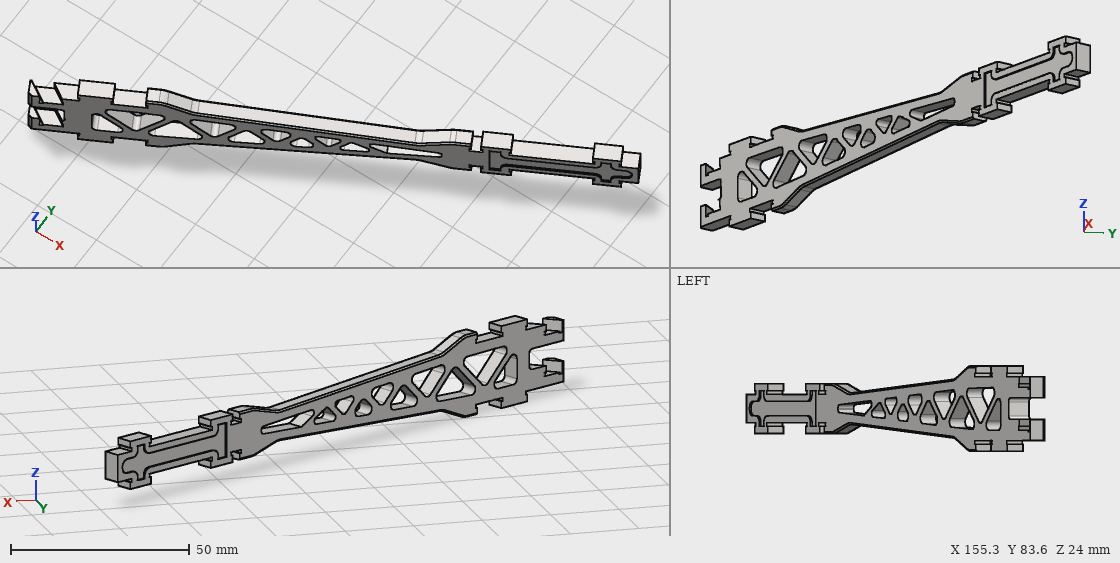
import cadquery as cq
import math

SWING_ANGLE = 27.5
LENGTH = 172.5
THICKNESS = 5.0
OVERLAP = 1.0

EAR_HEIGHT = 3.0
FORK_HALF = 9.0
BAR_HALF = 4.0
FORK_EAR_HALF = FORK_HALF + EAR_HEIGHT
BAR_EAR_HALF = BAR_HALF + EAR_HEIGHT
FORK_EAR = (14.0, 24.0)
BAR_EARS = ((128.0, 136.5), (159.6, 167.6))
RELIEF_DEPTH = 0.5
RELIEF_HEIGHT = 1.0

FORK_GAP_HALF = 3.0
FORK_GAP_DEPTH = 10.3
FORK_GAP_FILLET = 1.0
TIP_CHAMFER = 1.0
HOOK_ANGLE = 60.0
HOOK_SLANT = THICKNESS / math.tan(math.radians(HOOK_ANGLE))
HOOK_START = 0.4
HOOK_END = 6.75
HOOK_RELIEF_DEPTH = 0.25
HOOK_DEPTH = 3.0
HOOK_GROOVE_WIDTH = 1.0
HOOK_GROOVE_DEPTH = 0.5

TRUSS_START = 33.3
FORK_SHOULDER = 38.1
FORK_NECK = (46.8, 8.3)
BAR_NECK = (110.2, 4.4)
BAR_SHOULDER = 119.8
TRUSS_END = 125.2
BLEND_RADIUS = 6.0
RIM_CHAMFER = 0.5

RAIL_STATION = 46.7
RAIL_HALF = 5.3
RAIL_TAPER = 0.0605
RAIL_HALF_MAX = 6.0
WINDOW_FILLET = 1.5
SMALL_WINDOW_FILLET = 1.0
FIRST_WINDOW = (18.0, 22.9)
TRIANGLE_WINDOWS = (
    (25.7, 35.0),
    (37.8, 46.1),
    (49.0, 56.1),
    (59.1, 64.8),
    (67.8, 72.6),
    (75.6, 79.4),
)
SMALL_TRIANGLE_WINDOW = (82.9, 86.9)
SKEW_WINDOW = (89.5, 95.0)
LONG_WINDOW = (97.7, 116.9)
LAST_STRUT_SLOPE = 0.53
LONG_WINDOW_CORNER = 1.0

RECESS_DEPTH = 0.5
RECESS_HALF = 2.05
RECESS_HEAD_HALF = 5.0
RECESS_HEAD = (130.4, 133.6)
RECESS_CROSS = (162.0, 164.7)
RECESS_END = 170.7
RECESS_FILLET = 2.0


def block(start, end, bottom, top):
    """Full-thickness box between two stations and two heights."""
    size = cq.Workplane("XY").box(end - start, THICKNESS, top - bottom, centered=False)
    return size.translate((start, 0, bottom))


def plate(points, thickness=THICKNESS):
    """Plate standing on the front face, from (station, height) points."""
    return cq.Workplane("XZ").polyline(points).close().extrude(-thickness)


def with_mirror(upper_points):
    """Close an upper outline with its reflection in the centre line."""
    return upper_points + [(x, -z) for x, z in reversed(upper_points)]


def between(start, end, half_height):
    """Selector for edges whose middle lies in the given stretch of the arm."""
    return cq.selectors.BoxSelector(
        (start, -THICKNESS, -half_height), (end, 2 * THICKNESS, half_height)
    )


def undercut(body, wall, body_half):
    """Cut the relief at the root of an ear wall, above and below the body."""
    for bottom in (body_half, -body_half - RELIEF_HEIGHT):
        body = body.cut(
            block(wall - RELIEF_DEPTH, wall + RELIEF_DEPTH, bottom, bottom + RELIEF_HEIGHT)
        )
    return body


def ears(span, body_half):
    """A pair of ears with both walls undercut where they meet the body."""
    body = block(*span, -body_half - EAR_HEIGHT, body_half + EAR_HEIGHT)
    for wall in span:
        body = undercut(body, wall, body_half)
    return body


def slanted_block(back_start, back_end, front_shift, bottom, top):
    """Box whose end walls shift along the arm from the back face to the front face."""
    outline = [
        (back_start, THICKNESS),
        (back_end, THICKNESS),
        (back_end + front_shift, 0),
        (back_start + front_shift, 0),
    ]
    prism = cq.Workplane("XY").polyline(outline).close().extrude(top - bottom)
    return prism.translate((0, 0, bottom))


def hook_slot(prong_top):
    """Slanted slot in a prong, undercut at its far wall and grooved at its near wall."""
    floor = prong_top - HOOK_DEPTH
    slot = slanted_block(HOOK_START, HOOK_END, HOOK_SLANT, floor, prong_top)
    relief = slanted_block(
        HOOK_START, HOOK_END + HOOK_RELIEF_DEPTH, HOOK_SLANT, floor, floor + RELIEF_HEIGHT
    )
    groove = slanted_block(
        HOOK_START, HOOK_START + HOOK_GROOVE_WIDTH, HOOK_SLANT, floor - HOOK_GROOVE_DEPTH, floor
    )
    return slot.union(relief).union(groove)


def fork():
    body = block(0, TRUSS_START + OVERLAP, -FORK_HALF, FORK_HALF)
    body = body.edges("|Z and <X and <Y").chamfer(TIP_CHAMFER)
    gap = slanted_block(
        -FORK_GAP_DEPTH, FORK_GAP_DEPTH + HOOK_SLANT, -HOOK_SLANT, -FORK_GAP_HALF, FORK_GAP_HALF
    )
    gap = gap.faces(">X").edges("#Z").edges(">Z or <Z").fillet(FORK_GAP_FILLET)
    body = body.cut(gap).union(ears(FORK_EAR, FORK_HALF))
    for prong_top in (FORK_HALF, -FORK_GAP_HALF):
        body = body.cut(hook_slot(prong_top))
    return body


def truss():
    body = plate(with_mirror([
        (TRUSS_START, FORK_EAR_HALF),
        (FORK_SHOULDER, FORK_EAR_HALF),
        FORK_NECK,
        BAR_NECK,
        (BAR_SHOULDER, BAR_EAR_HALF),
        (TRUSS_END, BAR_EAR_HALF),
    ]))
    bends = between(TRUSS_START + OVERLAP, TRUSS_END - OVERLAP, LENGTH)
    body = body.edges("|Y").edges(bends).fillet(BLEND_RADIUS)
    rim = between(TRUSS_START + RIM_CHAMFER, TRUSS_END - RIM_CHAMFER, LENGTH)
    body = body.faces("<Y or >Y").edges(rim).chamfer(RIM_CHAMFER)
    body = undercut(body, TRUSS_START, FORK_HALF)
    return undercut(body, TRUSS_END, BAR_HALF)


def bar():
    body = block(TRUSS_END - OVERLAP, LENGTH, -BAR_HALF, BAR_HALF)
    for span in BAR_EARS:
        body = body.union(ears(span, BAR_HALF))
    return body


def rail_half(station):
    """Half height of the window rail at a station."""
    return RAIL_HALF - RAIL_TAPER * (station - RAIL_STATION)


def rail_corner(crossing, direction, side, slope=1.0):
    """Where a side through the centre line at `crossing` meets the rail.

    direction is +1 when the side leans towards the bar, side is +1 for the upper rail.
    """
    height = rail_half(crossing) / (1 + direction * RAIL_TAPER / slope)
    height = min(height, RAIL_HALF_MAX)
    return (crossing + direction * height / slope, side * height)


def triangle_window(span, side, fillet):
    """Window with its base on the upper (side = 1) or lower (side = -1) rail."""
    left, right = span
    apex = ((left + right) / 2, -side * (right - left) / 2)
    points = [rail_corner(left, -1, side), apex, rail_corner(right, 1, side)]
    return plate(points).edges("|Y").fillet(fillet)


def first_window():
    start, crossing = FIRST_WINDOW
    points = [
        (start, -RAIL_HALF_MAX),
        (crossing + RAIL_HALF_MAX, -RAIL_HALF_MAX),
        (start, crossing - start),
    ]
    return plate(points).edges("|Y").fillet(WINDOW_FILLET)


def skew_window():
    """Lower window with one 45 degree side and one side along the last strut."""
    left, right = SKEW_WINDOW
    apex_height = (right - left) / (1 + 1 / LAST_STRUT_SLOPE)
    points = [
        rail_corner(left, -1, -1),
        (left + apex_height, apex_height),
        rail_corner(right, 1, -1, LAST_STRUT_SLOPE),
    ]
    return plate(points).edges("|Y").fillet(SMALL_WINDOW_FILLET)


def long_window():
    """Tapered window between the rails, rounded at its far end."""
    crossing, end = LONG_WINDOW
    end_half = rail_half(end)
    body = plate([
        rail_corner(crossing, -1, 1, LAST_STRUT_SLOPE),
        rail_corner(crossing, 1, -1, LAST_STRUT_SLOPE),
        (end, -end_half),
        (end, end_half),
    ])
    end_fillet = 0.9 * end_half
    body = body.edges("|Y and >X").fillet(end_fillet)
    return body.edges("|Y and <X").fillet(LONG_WINDOW_CORNER)


def windows():
    cutters = first_window()
    side = 1
    for span in TRIANGLE_WINDOWS:
        cutters = cutters.union(triangle_window(span, side, WINDOW_FILLET))
        side = -side
    cutters = cutters.union(triangle_window(SMALL_TRIANGLE_WINDOW, side, SMALL_WINDOW_FILLET))
    return cutters.union(skew_window()).union(long_window())


def recesses():
    """Matching shallow pockets on the front and back faces of the bar."""
    outline = with_mirror([
        (RECESS_HEAD[0], RECESS_HEAD_HALF),
        (RECESS_HEAD[1], RECESS_HEAD_HALF),
        (RECESS_HEAD[1], RECESS_HALF),
        (RECESS_CROSS[0], RECESS_HALF),
        (RECESS_CROSS[0], RECESS_HEAD_HALF),
        (RECESS_CROSS[1], RECESS_HEAD_HALF),
        (RECESS_CROSS[1], RECESS_HALF),
        (RECESS_END, RECESS_HALF),
    ])
    stem_corners = between(RECESS_HEAD[0], LENGTH, BAR_HALF)
    front = plate(outline, RECESS_DEPTH).edges("|Y").edges(stem_corners).fillet(RECESS_FILLET)
    back = front.translate((0, THICKNESS - RECESS_DEPTH, 0))
    return front.union(back)


arm = fork().union(truss()).union(bar())
arm = arm.cut(windows()).cut(recesses())
result = arm.rotate((0, 0, 0), (0, 0, 1), SWING_ANGLE)